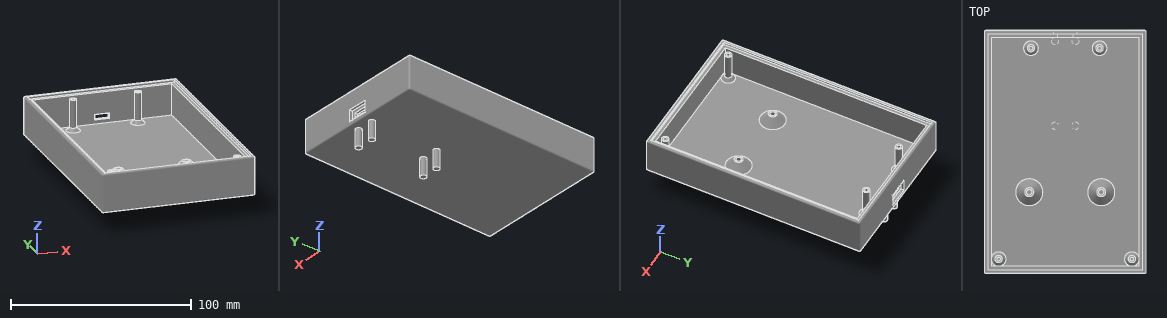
import cadquery as cq

WIDTH = 90.0
LENGTH = 135.0
HEIGHT = 23.0
EDGE_RADIUS = 1.0
SHELL_WALL = 2.0
FLOOR = 3.0

FRAME_WALL = 2.0
RIM_DEPTH = 1.5
LEDGE_Z = HEIGHT - RIM_DEPTH
TRAY_WIDTH = WIDTH - 2 * SHELL_WALL
TRAY_LENGTH = LENGTH - 2 * SHELL_WALL
OPENING_WIDTH = TRAY_WIDTH - 2 * FRAME_WALL
OPENING_LENGTH = TRAY_LENGTH - 2 * FRAME_WALL

SLOT_WIDTH = 8.5
SLOT_HEIGHT = 3.1
SLOT_BOTTOM = 5.4
PLUG_MARGIN = 2.3
PLUG_WIDTH = SLOT_WIDTH + 2 * PLUG_MARGIN
PLUG_HEIGHT = SLOT_HEIGHT + 2 * PLUG_MARGIN

POST_DIAMETER = 4.0
FOOT_DIAMETER = 8.1
FOOT_HEIGHT = 2.0
REAR_POST_X = 19.0
REAR_POST_Y = 57.5
REAR_HOLE_DIAMETER = 2.2
FRONT_POST_INSET = 8.0
FRONT_POST_X = WIDTH / 2 - FRONT_POST_INSET
FRONT_POST_Y = FRONT_POST_INSET - LENGTH / 2
FRONT_HOLE_DIAMETER = 2.0

BOSS_X = 20.0
BOSS_Y = -22.4
BOSS_BASE_DIAMETER = 15.0
BOSS_TOP_DIAMETER = 5.0
BOSS_HEIGHT = 5.0
BOSS_HOLE_DIAMETER = 3.0

PEG_DIAMETER = 4.0
PEG_LENGTH = 12.0
PEG_X = 5.7
PEG_ROWS_Y = (61.6, 14.5)

SIDES = (-1, 1)


def block(width, length, bottom, top):
    """Rectangular block centred on the Z axis."""
    return cq.Workplane("XY", origin=(0, 0, bottom)).rect(width, length).extrude(top - bottom)


def cylinder(x, y, diameter, bottom, top):
    """Upright cylinder between two heights."""
    return cq.Workplane("XY", origin=(x, y, bottom)).circle(diameter / 2).extrude(top - bottom)


def cone(x, y, base_diameter, top_diameter, height):
    """Truncated cone standing on the floor."""
    base = cq.Vector(x, y, FLOOR)
    return cq.Workplane(cq.Solid.makeCone(base_diameter / 2, top_diameter / 2, height, base))


def rear_cutter(width, bottom, height, outer_y, depth):
    """Block that cuts a window inward from a wall face at +Y."""
    return block(width, depth, bottom, bottom + height).translate((0, outer_y - depth / 2, 0))


def screw_post(x, y, hole_diameter):
    """Post with a conical foot and a screw hole down to the floor."""
    foot = cone(x, y, FOOT_DIAMETER, POST_DIAMETER, FOOT_HEIGHT)
    post = foot.union(cylinder(x, y, POST_DIAMETER, FLOOR, LEDGE_Z))
    return post.cut(cylinder(x, y, hole_diameter, FLOOR, LEDGE_Z))


def conical_boss(x, y):
    """Wide, low cone with a screw hole down to the floor."""
    boss = cone(x, y, BOSS_BASE_DIAMETER, BOSS_TOP_DIAMETER, BOSS_HEIGHT)
    return boss.cut(cylinder(x, y, BOSS_HOLE_DIAMETER, FLOOR, FLOOR + BOSS_HEIGHT))


def make_housing():
    """Tray with its plug opening, posts, bosses and pegs."""
    tray = block(WIDTH, LENGTH, 0, HEIGHT).edges().fillet(EDGE_RADIUS)
    tray = tray.cut(block(TRAY_WIDTH, TRAY_LENGTH, FLOOR, HEIGHT))
    plug_bottom = SLOT_BOTTOM - PLUG_MARGIN
    tray = tray.cut(rear_cutter(PLUG_WIDTH, plug_bottom, PLUG_HEIGHT, LENGTH / 2, SHELL_WALL))

    frame_opening = block(OPENING_WIDTH, OPENING_LENGTH, FLOOR, HEIGHT)
    for side in SIDES:
        rear_post = screw_post(side * REAR_POST_X, REAR_POST_Y, REAR_HOLE_DIAMETER)
        front_post = screw_post(side * FRONT_POST_X, FRONT_POST_Y, FRONT_HOLE_DIAMETER)
        boss = conical_boss(side * BOSS_X, BOSS_Y)
        for feature in (rear_post, front_post, boss):
            tray = tray.union(feature.intersect(frame_opening))
        for row_y in PEG_ROWS_Y:
            tray = tray.union(cylinder(side * PEG_X, row_y, PEG_DIAMETER, -PEG_LENGTH, 0))
    return tray


def make_ledge_frame():
    """Ring inside the tray walls, with the connector slot at +Y."""
    frame = block(TRAY_WIDTH, TRAY_LENGTH, FLOOR, LEDGE_Z)
    frame = frame.cut(block(OPENING_WIDTH, OPENING_LENGTH, FLOOR, LEDGE_Z))
    return frame.cut(rear_cutter(SLOT_WIDTH, SLOT_BOTTOM, SLOT_HEIGHT, TRAY_LENGTH / 2, FRAME_WALL))


housing = make_housing()
ledge_frame = make_ledge_frame()
result = cq.Compound.makeCompound([housing.val(), ledge_frame.val()])